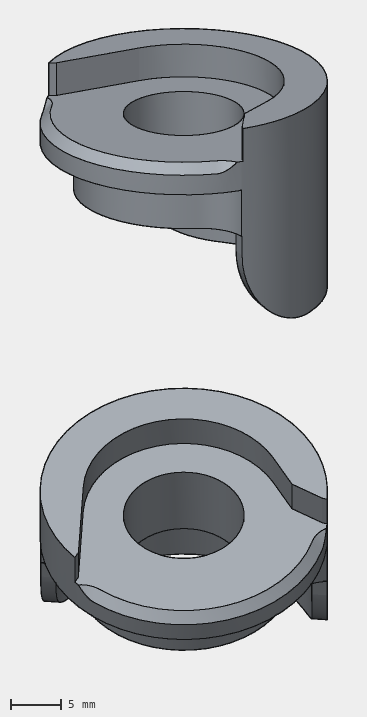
import cadquery as cq
import math

outer_radius = 14.28
height = 22.0
bore_radius = 6.0

skirt_straight_z = 8.45
hub_bottom_z = 10.5
flange_bottom_z = 15.43
pocket_floor_z = 18.5

skirt_inner_radius = 12.77
skirt_angle = -32.2
hub_radius = 10.97
hub_blend_radius = 4.7

pocket_radius = 10.0
wall_slope = 60.0
right_wall_length = 4.05
right_slant_end_y = -7.17
left_slant_length = 9.17
left_mouth_y = -3.4
right_mouth_y = -7.5
clearance = 2.85

rim_chamfer = 1.0
rim_chamfer_start = -155.8
rim_chamfer_end = -42.7
runout_radius = 3.0


def polar(radius, degrees):
    angle = math.radians(degrees)
    return (radius * math.cos(angle), radius * math.sin(angle))


def cylinder(radius, bottom, top):
    return cq.Workplane("XY").workplane(offset=bottom).circle(radius).extrude(top - bottom)


def make_skirt():
    """Half ring with both lower corners rounded, facing +Y before turning."""
    far_y = outer_radius + clearance
    corner = skirt_straight_z * (1 - math.sqrt(0.5))
    side_profile = (
        cq.Workplane("YZ")
        .moveTo(0, flange_bottom_z)
        .lineTo(0, skirt_straight_z)
        .threePointArc((corner, corner), (skirt_straight_z, 0))
        .lineTo(far_y, 0)
        .lineTo(far_y, flange_bottom_z)
        .close()
        .extrude(far_y, both=True)
    )
    ring = cylinder(outer_radius, 0, flange_bottom_z).cut(
        cylinder(skirt_inner_radius, 0, hub_bottom_z)
    )
    return ring.intersect(side_profile)


def make_hub_blend(side):
    """Web between hub and skirt plane, before turning; side is +1 or -1 along X."""
    center_x = math.sqrt((hub_radius + hub_blend_radius) ** 2 - hub_blend_radius**2)
    tangent_ratio = hub_radius / (hub_radius + hub_blend_radius)
    web = (
        cq.Workplane("XY")
        .workplane(offset=hub_bottom_z)
        .polyline(
            [
                (0, 0),
                (side * center_x, 0),
                (side * center_x, -hub_blend_radius),
                (side * center_x * tangent_ratio, -hub_blend_radius * tangent_ratio),
            ]
        )
        .close()
        .extrude(flange_bottom_z - hub_bottom_z)
    )
    hollow = cylinder(hub_blend_radius, hub_bottom_z, flange_bottom_z).translate(
        (side * center_x, -hub_blend_radius, 0)
    )
    return web.cut(hollow).intersect(cylinder(outer_radius, hub_bottom_z, flange_bottom_z))


def make_lower_body():
    body = cylinder(hub_radius, hub_bottom_z, flange_bottom_z).union(make_skirt())
    for side in (-1, 1):
        body = body.union(make_hub_blend(side))
    return body.rotate((0, 0, 0), (0, 0, 1), skirt_angle)


def make_pocket():
    """Open pocket: a round back, two slanted walls and a wide mouth toward -Y."""
    slope = math.radians(wall_slope)
    left_tangent = polar(pocket_radius, 90 + wall_slope)
    left_slant_end = (
        left_tangent[0] - left_slant_length * math.cos(slope),
        left_tangent[1] - left_slant_length * math.sin(slope),
    )
    right_slant_end = (
        pocket_radius + (-right_wall_length - right_slant_end_y) / math.tan(slope),
        right_slant_end_y,
    )
    left_mouth = (-math.sqrt(outer_radius**2 - left_mouth_y**2), left_mouth_y)
    right_mouth = (math.sqrt(outer_radius**2 - right_mouth_y**2), right_mouth_y)
    far = outer_radius + clearance
    return (
        cq.Workplane("XY")
        .workplane(offset=pocket_floor_z)
        .moveTo(pocket_radius, 0)
        .threePointArc((0, pocket_radius), left_tangent)
        .lineTo(*left_slant_end)
        .lineTo(*left_mouth)
        .lineTo(-far, left_mouth_y)
        .lineTo(-far, -far)
        .lineTo(far, -far)
        .lineTo(far, right_mouth_y)
        .lineTo(*right_mouth)
        .lineTo(*right_slant_end)
        .lineTo(pocket_radius, -right_wall_length)
        .close()
        .extrude(height - pocket_floor_z)
    )


def make_rim_chamfer():
    """Chamfer cutter along the rim, without its ends."""
    bottom_z = pocket_floor_z - rim_chamfer
    return (
        cq.Workplane("XZ")
        .polyline(
            [
                (outer_radius - rim_chamfer, pocket_floor_z),
                (outer_radius, bottom_z),
                (outer_radius + rim_chamfer, bottom_z),
                (outer_radius + rim_chamfer, pocket_floor_z),
            ]
        )
        .close()
        .revolve(rim_chamfer_end - rim_chamfer_start, (0, 0, 0), (0, 1, 0))
        .rotate((0, 0, 0), (0, 0, 1), rim_chamfer_start)
    )


def make_chamfer_runout(angle):
    """Cone tangent to the chamfer, which fades it out at one end."""
    x, y = polar(outer_radius - rim_chamfer + runout_radius, angle)
    cone = cq.Solid.makeCone(
        runout_radius - rim_chamfer,
        runout_radius,
        rim_chamfer,
        pnt=cq.Vector(x, y, pocket_floor_z - rim_chamfer),
    )
    return cq.Workplane("XY").add(cone)


result = cylinder(outer_radius, flange_bottom_z, height).union(make_lower_body())
result = result.cut(make_pocket()).cut(make_rim_chamfer())
for end_angle in (rim_chamfer_start, rim_chamfer_end):
    result = result.cut(make_chamfer_runout(end_angle))
result = result.cut(cylinder(bore_radius, 0, height))